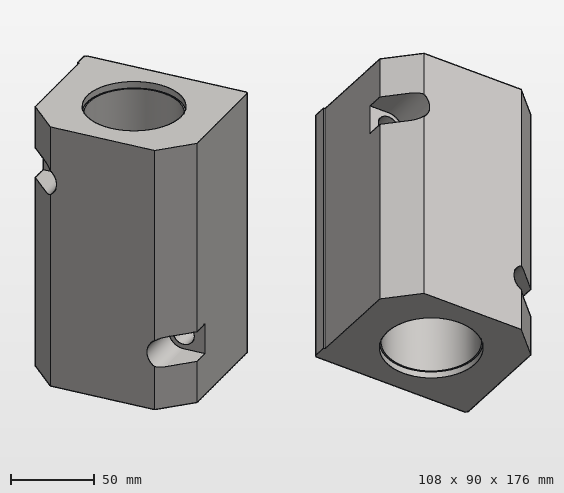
import cadquery as cq

width = 108.0
depth = 90.0
height = 176
front_chamfer = 19.0
back_chamfer = 1.2

ledge_height = 1.0
ledge_width = 10.0

bore_diameter = 60.0
counterbore_diameter = 62.0
counterbore_depth = 4.4

bolt_diameter = 14.0
slot_width = 20.0
slot_depth = 30.0
bolt_side_inset = 14.0
bolt_end_inset = 38.0

left = -width / 2
right = width / 2
front = -depth / 2
back = depth / 2
body_left = left + ledge_height


def make_block():
    outline = [
        (body_left + front_chamfer, front),
        (right - front_chamfer, front),
        (right, front + front_chamfer),
        (right, back - back_chamfer),
        (right - back_chamfer, back),
        (left + back_chamfer, back),
        (left, back - back_chamfer),
        (left, back - ledge_width),
        (body_left, back - ledge_width),
        (body_left, front + front_chamfer),
    ]
    return cq.Workplane("XY").polyline(outline).close().extrude(height)


def make_bore():
    bore = cq.Workplane("XY").circle(bore_diameter / 2).extrude(height)
    recess = cq.Workplane("XY").circle(counterbore_diameter / 2).extrude(counterbore_depth)
    top_recess = recess.translate((0, 0, height - counterbore_depth))
    return bore.union(recess).union(top_recess)


def make_bolt_cut(side, z):
    """Through hole along Y and its slot, open to -X (side = -1) or +X (side = 1)."""
    x = side * (width / 2 - bolt_side_inset)
    open_length = slot_width
    front_plane = cq.Workplane("XZ", origin=(x, front, z))
    hole = front_plane.circle(bolt_diameter / 2).extrude(-depth)
    round_end = front_plane.circle(slot_width / 2).extrude(-slot_depth)
    open_end = (
        front_plane.center(side * open_length / 2, 0)
        .rect(open_length, slot_width)
        .extrude(-slot_depth)
    )
    return hole.union(round_end).union(open_end)


result = (
    make_block()
    .cut(make_bore())
    .cut(make_bolt_cut(-1, height - bolt_end_inset))
    .cut(make_bolt_cut(1, bolt_end_inset))
)